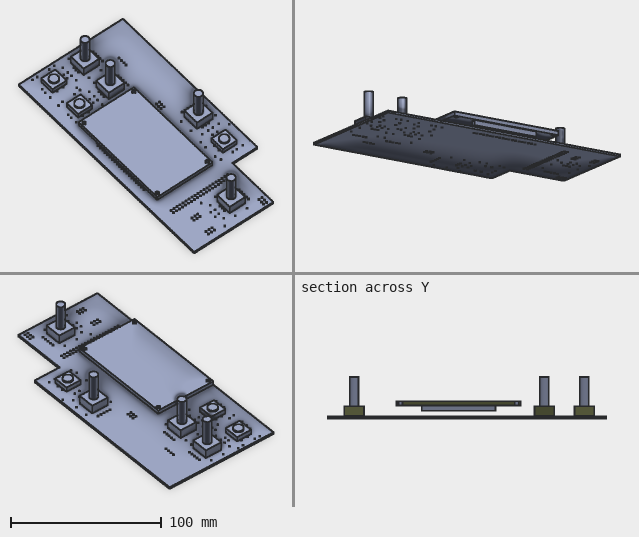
import cadquery as cq


BOARD_LENGTH = 184.4
BOARD_WIDTH = 89.0
BOARD_THICKNESS = 1.5
NOTCH_LENGTH = 43.0
NOTCH_WIDTH = 21.4

LONG_ROW_PINS = 20
LONG_ROW_LENGTH = 48.3
PITCH = LONG_ROW_LENGTH / (LONG_ROW_PINS - 1)
LONG_PART_SPAN = 4 * PITCH
SHORT_PART_SPAN = 2 * PITCH

PART_HOLE = 0.8
HEADER_HOLE = 1.0
SWITCH_HOLE = 1.2

ENCODER_SIDE = 13.3
ENCODER_TOP = 8.3
SHAFT_DIAMETER = 6.0
SHAFT_TOP = 27.7
ENCODER_PINS = 3
ENCODER_PIN_OFFSET = 7.5
LIGHT_PINS = 5
LIGHT_PIN_OFFSET = 10.9
SIDE_PART_OFFSET = 10.5

BUTTON_SIDE = 12.0
BUTTON_TOP = 5.3
CAP_DIAMETER = 7.2
CAP_TOP = 6.5
BUTTON_PIN_SPAN_X = 12.5
BUTTON_PIN_SPAN_Y = 5.0

MOUNT_GAP = 0.2
MOUNT_Z = BOARD_THICKNESS + MOUNT_GAP

DISPLAY_X = 97.7
DISPLAY_Y = 29.0
DISPLAY_LENGTH = 82.6
DISPLAY_WIDTH = 47.2
DISPLAY_TOP = 11.6
DISPLAY_THICKNESS = 3.0
DISPLAY_HOLE = 2.5
DISPLAY_HOLE_SPAN_X = 77.0
DISPLAY_HOLE_SPAN_Y = 42.6
STRIP_LENGTH = 49.0
STRIP_WIDTH = 2.5
STRIP_HEIGHT = 3.5
STRIP_Y = 8.0

ENCODERS = [(14.4, 45.0, 0), (41.0, 45.0, 0), (97.5, 74.3, 90), (167.0, 45.7, 0)]
BUTTONS = [(13.8, 18.8, 0), (41.0, 18.6, 0), (124.8, 74.1, 90)]

HEADERS = [
    (28.2, 65.8, 4, 1),
    (73.0, 61.5, 3, 2),
    (179.2, 62.9, 3, 2),
    (148.5, 34.9, 2, LONG_ROW_PINS),
    (162.0, 19.7, 2, 3),
    (177.0, 19.7, 2, 3),
    (DISPLAY_X, STRIP_Y, LONG_ROW_PINS, 1),
]

SHORT_PARTS = [
    (10.0, 31.7, 0),
    (18.8, 31.9, 0),
    (36.9, 32.5, 0),
    (45.7, 32.3, 0),
    (162.6, 33.5, 0),
    (171.9, 33.4, 0),
    (109.7, 79.3, 90),
    (109.7, 70.3, 90),
    (19.2, 9.2, 0),
    (46.5, 9.2, 0),
    (134.0, 80.0, 90),
]
LONG_PARTS = [
    (7.4, 28.4, 0),
    (21.2, 28.2, 0),
    (34.3, 28.5, 0),
    (48.3, 28.5, 0),
    (159.9, 30.0, 0),
    (174.8, 29.9, 0),
    (114.3, 81.9, 90),
    (114.3, 67.7, 90),
    (2.8, 18.8, 90),
    (29.7, 18.5, 90),
    (7.7, 9.5, 0),
    (35.5, 9.2, 0),
    (134.2, 68.8, 90),
    (124.8, 62.3, 0),
]


def drill(board, x, y, rotation, points, diameter):
    """Cut through holes at points given in a footprint's own frame."""
    frame = cq.Location(cq.Vector(x, y, 0), cq.Vector(0, 0, 1), rotation)
    hole = cq.Workplane().circle(diameter / 2).extrude(BOARD_THICKNESS).val()
    holes = [hole.moved(frame * cq.Location(cq.Vector(px, py, 0))) for px, py in points]
    return board.cut(cq.Workplane(cq.Compound.makeCompound(holes)))


def pin_grid(columns, rows, centre_y=0.0):
    """Points of a pin grid at the common pitch, centred on (0, centre_y)."""
    return [
        ((i - (columns - 1) / 2) * PITCH, centre_y + (j - (rows - 1) / 2) * PITCH)
        for i in range(columns)
        for j in range(rows)
    ]


def corner_points(span_x, span_y):
    """The four corners of a centred rectangle."""
    return [(sx * span_x / 2, sy * span_y / 2) for sx in (-1, 1) for sy in (-1, 1)]


def make_board():
    """L-shaped board with every footprint drilled through."""
    notch_x = BOARD_LENGTH - NOTCH_LENGTH
    notch_y = BOARD_WIDTH - NOTCH_WIDTH
    outline = [
        (0, 0),
        (BOARD_LENGTH, 0),
        (BOARD_LENGTH, notch_y),
        (notch_x, notch_y),
        (notch_x, BOARD_WIDTH),
        (0, BOARD_WIDTH),
    ]
    board = cq.Workplane().polyline(outline).close().extrude(BOARD_THICKNESS)

    for x, y, columns, rows in HEADERS:
        board = drill(board, x, y, 0, pin_grid(columns, rows), HEADER_HOLE)

    encoder_pins = pin_grid(ENCODER_PINS, 1, -ENCODER_PIN_OFFSET)
    light_pins = pin_grid(LIGHT_PINS, 1, LIGHT_PIN_OFFSET)
    side_parts = corner_points(2 * SIDE_PART_OFFSET, LONG_PART_SPAN)
    for x, y, rotation in ENCODERS:
        board = drill(board, x, y, rotation, encoder_pins + light_pins, HEADER_HOLE)
        board = drill(board, x, y, rotation, side_parts, PART_HOLE)

    button_pins = corner_points(BUTTON_PIN_SPAN_X, BUTTON_PIN_SPAN_Y)
    for x, y, rotation in BUTTONS:
        board = drill(board, x, y, rotation, button_pins, SWITCH_HOLE)

    for parts, span in ((SHORT_PARTS, SHORT_PART_SPAN), (LONG_PARTS, LONG_PART_SPAN)):
        for x, y, rotation in parts:
            board = drill(board, x, y, rotation, [(-span / 2, 0), (span / 2, 0)], PART_HOLE)
    return board


def make_post_on_block(x, y, side, block_top, post_diameter, post_top):
    """Square block above the board carrying a centred round post."""
    block = cq.Workplane().box(side, side, block_top - MOUNT_Z, centered=(True, True, False))
    return (
        block.faces(">Z")
        .workplane()
        .circle(post_diameter / 2)
        .extrude(post_top - block_top)
        .translate((x, y, MOUNT_Z))
    )


def make_encoder(x, y):
    """Rotary encoder: square body with a tall shaft."""
    return make_post_on_block(x, y, ENCODER_SIDE, ENCODER_TOP, SHAFT_DIAMETER, SHAFT_TOP)


def make_button(x, y):
    """Push button: low square body with a flat round cap."""
    return make_post_on_block(x, y, BUTTON_SIDE, BUTTON_TOP, CAP_DIAMETER, CAP_TOP)


def make_display():
    """Raised display panel with corner holes and a connector strip below."""
    panel_bottom = DISPLAY_TOP - DISPLAY_THICKNESS
    panel = (
        cq.Workplane()
        .box(DISPLAY_LENGTH, DISPLAY_WIDTH, DISPLAY_THICKNESS, centered=(True, True, False))
        .faces(">Z")
        .workplane()
        .pushPoints(corner_points(DISPLAY_HOLE_SPAN_X, DISPLAY_HOLE_SPAN_Y))
        .hole(DISPLAY_HOLE)
        .translate((DISPLAY_X, DISPLAY_Y, panel_bottom))
    )
    strip = (
        cq.Workplane()
        .box(STRIP_LENGTH, STRIP_WIDTH, STRIP_HEIGHT, centered=(True, True, False))
        .translate((DISPLAY_X, STRIP_Y, panel_bottom - STRIP_HEIGHT))
    )
    return panel.union(strip)


board = make_board()
encoders = [make_encoder(x, y) for x, y, _ in ENCODERS]
buttons = [make_button(x, y) for x, y, _ in BUTTONS]
display = make_display()

result = cq.Compound.makeCompound(
    [
        board.val(),
        *[encoder.val() for encoder in encoders],
        *[button.val() for button in buttons],
        display.val(),
    ]
)